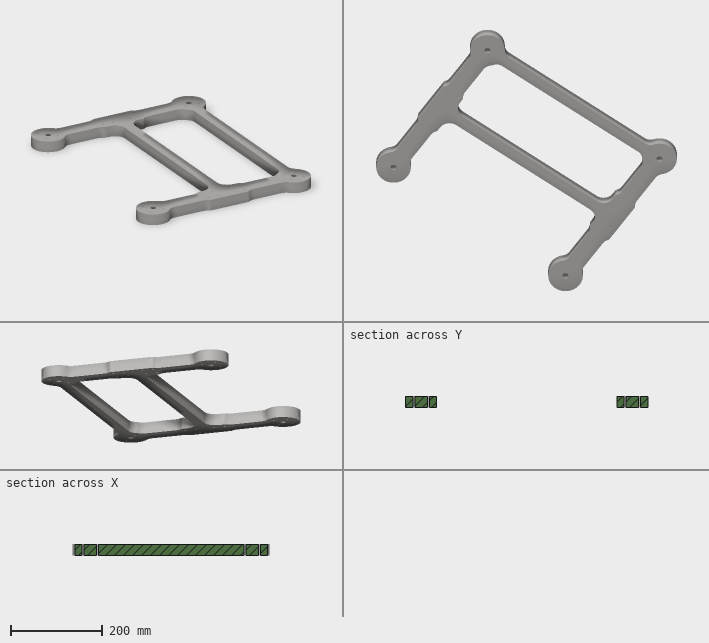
import cadquery as cq

length = 539.5
width = 431.5
thickness = 25.5

foot_diameter = 76.0
foot_radius = foot_diameter / 2
foot_x = (length - foot_diameter) / 2
foot_y = (width - foot_diameter) / 2
foot_fillet = 21.5
foot_bore = 13.0
foot_screw_pitch = 32.0

arm_width = 40.0
pad_width = 52.0
pad_flat_length = 93.0
pad_blend_length = 17.0
pad_blend_split = 0.34
pad_screw_pitch = 25.5
pad_screw_group_y = 33.5

bar_width = thickness
bar_fillet = 25.5

screw_hole = 3.0

sides = (-1, 1)
foot_centres = [(sx * foot_x, sy * foot_y) for sx in sides for sy in sides]


def plate(x_size, y_size, x=0, y=0):
    """Rectangular plate centred on (x, y)."""
    return cq.Workplane("XY").center(x, y).rect(x_size, y_size).extrude(thickness)


def square_pattern(x, y, pitch):
    """Four points at the corners of a square centred on (x, y)."""
    half = pitch / 2
    return [(x + sx * half, y + sy * half) for sx in sides for sy in sides]


def pad(x):
    """Pad whose long sides run into the arm through S-shaped blends."""
    edge = pad_width / 2
    arm_edge = arm_width / 2
    flat_end = pad_flat_length / 2
    blend_end = flat_end + pad_blend_length
    turn_x = edge - pad_blend_split * (edge - arm_edge)
    turn_y = flat_end + pad_blend_split * pad_blend_length
    quarter = (
        cq.Workplane("XY")
        .moveTo(0, 0)
        .lineTo(edge, 0)
        .lineTo(edge, flat_end)
        .tangentArcPoint((turn_x, turn_y), relative=False)
        .tangentArcPoint((arm_edge, blend_end), relative=False)
        .lineTo(0, blend_end)
        .close()
        .extrude(thickness)
    )
    half = quarter.union(quarter.mirror("YZ"))
    return half.union(half.mirror("XZ")).translate((x, 0, 0))


def corners_near(x, y, reach):
    """Selector box for the upright edges within reach of (x, y)."""
    low_corner = (x - reach, y - reach, 0)
    high_corner = (x + reach, y + reach, thickness)
    return cq.selectors.BoxSelector(low_corner, high_corner)


def through_holes(points, diameter):
    """Cutters for round holes through the full thickness."""
    return cq.Workplane("XY").pushPoints(points).circle(diameter / 2).extrude(thickness)


frame = cq.Workplane("XY").pushPoints(foot_centres).circle(foot_radius).extrude(thickness)
for side in sides:
    frame = frame.union(plate(arm_width, 2 * foot_y, x=side * foot_x))
    frame = frame.union(pad(side * foot_x))
for bar_y in (0, foot_y):
    frame = frame.union(plate(2 * foot_x, bar_width, y=bar_y))
frame = frame.clean()

for x, y in foot_centres:
    frame = frame.edges("|Z").edges(corners_near(x, y, foot_radius)).fillet(foot_fillet)
for side in sides:
    junction_x = side * (foot_x - pad_width / 2)
    frame = frame.edges("|Z").edges(corners_near(junction_x, 0, bar_width)).fillet(bar_fillet)

screw_points = [(0, 0), (0, foot_y)]
for x, y in foot_centres:
    screw_points += square_pattern(x, y, foot_screw_pitch)
for sx in sides:
    for sy in sides:
        screw_points += square_pattern(sx * foot_x, sy * pad_screw_group_y, pad_screw_pitch)

frame = frame.cut(through_holes(foot_centres, foot_bore))
result = frame.cut(through_holes(screw_points, screw_hole))